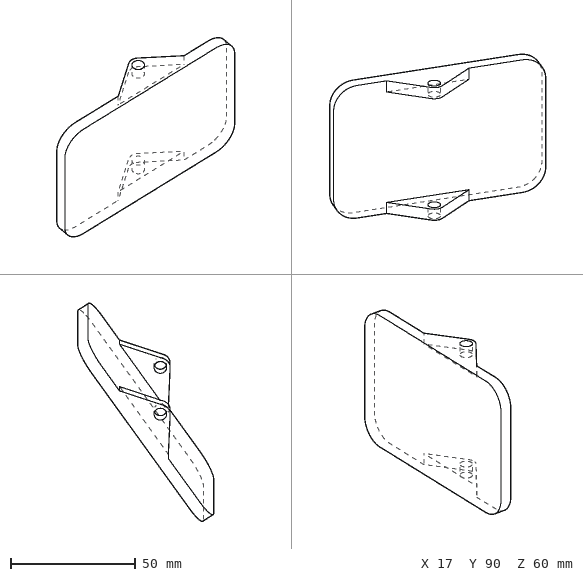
import cadquery as cq
import math

plate_length = 90.0
plate_height = 60.0
plate_thickness = 5.0
corner_radius = 10.0

lug_reach = 12.0
lug_thickness = plate_thickness
lug_base_width = 34.9
lug_tip_radius = 4.0
lug_offset = 5.0
hole_diameter = 5.0


def make_plate():
    return (
        cq.Workplane("XY")
        .box(plate_thickness, plate_length, plate_height, centered=(False, True, False))
        .edges("|X")
        .fillet(corner_radius)
    )


def make_lug(bottom_z):
    """Triangular lug with a round tip tangent to both sides and a pin hole."""
    pin_x = lug_tip_radius - lug_reach
    half_base = lug_base_width / 2

    base_distance = math.hypot(pin_x, half_base)
    base_angle = math.atan2(half_base, pin_x)
    tangent_angle = base_angle - math.acos(lug_tip_radius / base_distance)
    tangent_x = pin_x - lug_tip_radius * math.cos(tangent_angle)
    tangent_y = lug_tip_radius * math.sin(tangent_angle)

    return (
        cq.Workplane("XY", origin=(0, lug_offset, bottom_z))
        .moveTo(0, -half_base)
        .lineTo(tangent_x, -tangent_y)
        .threePointArc((-lug_reach, 0), (tangent_x, tangent_y))
        .lineTo(0, half_base)
        .close()
        .moveTo(pin_x, 0)
        .circle(hole_diameter / 2)
        .extrude(lug_thickness)
    )


result = make_plate()
for lug_bottom in (0, plate_height - lug_thickness):
    result = result.union(make_lug(lug_bottom))